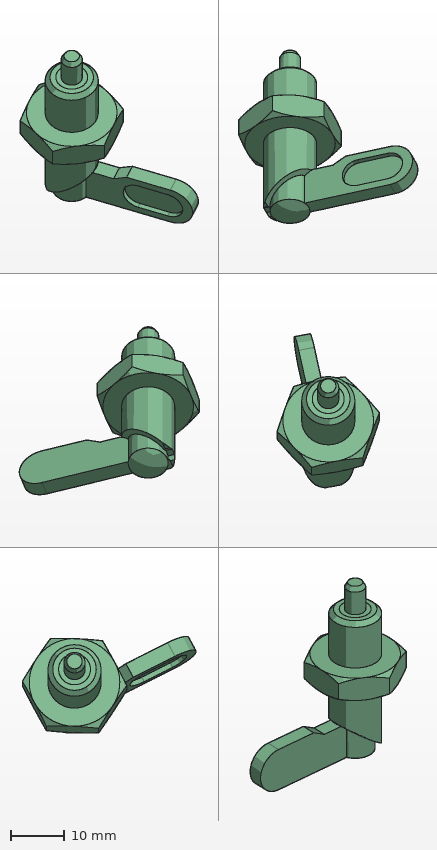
import cadquery as cq
import math

overall_height = 38
pin_projection = 6.0
sleeve_top = overall_height - pin_projection
sleeve_bottom = 2.0
stub_bottom = 1.0

sleeve_diameter = 10.0
sleeve_radius = sleeve_diameter / 2
sleeve_tip_diameter = 8.17
sleeve_chamfer_height = 0.9
notch_outer_width = 3.1
notch_inner_width = 1.45
notch_depth = 0.5

cam_low_x = -3.88
cam_high_x = 4.85
cam_top = 8.5

nut_height = 5.0
nut_top = 22.0
nut_across_flats = 17.02
nut_chamfer_angle = 30

pin_diameter = 4.0
pin_tip_diameter = 2.9
pin_chamfer_height = 1.0
shaft_diameter = 6.0
stub_diameter = 7.52

lever_thickness = 3.0
lever_height = 9.0
lever_end_x = 25.0
lever_ramp_start_x = 9.05
lever_ramp_end_x = 11.65
lever_end_radius = lever_height / 2
lever_mid_z = stub_bottom + lever_end_radius
lever_top = stub_bottom + lever_height
lever_arc_x = lever_end_x - lever_end_radius

recess_length = 12.0
recess_height = 6.0
recess_depth = 1.0
recess_mid_x = 17.0


def cylinder(diameter, bottom, top):
    return cq.Workplane("XY").workplane(offset=bottom).circle(diameter / 2).extrude(top - bottom)


def below_cam_space():
    """Everything under the cam slope and its short flat, across the whole sleeve."""
    outer_x = sleeve_diameter
    return (
        cq.Workplane("XZ")
        .moveTo(-outer_x, 0)
        .lineTo(-outer_x, sleeve_bottom)
        .lineTo(cam_low_x, sleeve_bottom)
        .lineTo(cam_high_x, cam_top)
        .lineTo(outer_x, cam_top)
        .lineTo(outer_x, 0)
        .close()
        .extrude(sleeve_radius, both=True)
    )


def parking_notch():
    """Tapered notch across the low side of the sleeve's lower end."""
    return (
        cq.Workplane("YZ")
        .workplane(offset=-sleeve_diameter)
        .moveTo(-notch_outer_width / 2, sleeve_bottom)
        .lineTo(-notch_inner_width / 2, sleeve_bottom + notch_depth)
        .lineTo(notch_inner_width / 2, sleeve_bottom + notch_depth)
        .lineTo(notch_outer_width / 2, sleeve_bottom)
        .close()
        .extrude(sleeve_diameter)
    )


def make_sleeve():
    outer = (
        cq.Workplane("XZ")
        .lineTo(sleeve_radius, 0)
        .lineTo(sleeve_radius, sleeve_top - sleeve_chamfer_height)
        .lineTo(sleeve_tip_diameter / 2, sleeve_top)
        .lineTo(0, sleeve_top)
        .close()
        .revolve(360, (0, 0, 0), (0, 1, 0))
    )
    bore = cylinder(shaft_diameter, 0, sleeve_top)
    counterbore = cylinder(stub_diameter, 0, cam_top)
    return outer.cut(below_cam_space()).cut(parking_notch()).cut(bore).cut(counterbore)


def make_nut():
    flat_radius = nut_across_flats / 2
    corner_radius = flat_radius / math.cos(math.pi / 6)
    chamfer_height = (corner_radius - flat_radius) * math.tan(math.radians(nut_chamfer_angle))
    bottom = nut_top - nut_height
    hexagon = (
        cq.Workplane("XY")
        .workplane(offset=bottom)
        .transformed(rotate=(0, 0, 30))
        .polygon(6, 2 * corner_radius)
        .extrude(nut_height)
    )
    chamfer_envelope = (
        cq.Workplane("XZ")
        .moveTo(0, bottom)
        .lineTo(flat_radius, bottom)
        .lineTo(corner_radius, bottom + chamfer_height)
        .lineTo(corner_radius, nut_top - chamfer_height)
        .lineTo(flat_radius, nut_top)
        .lineTo(0, nut_top)
        .close()
        .revolve(360, (0, 0, 0), (0, 1, 0))
    )
    bore = cylinder(sleeve_diameter, bottom, nut_top)
    return hexagon.intersect(chamfer_envelope).cut(bore)


def make_shaft():
    """Round shaft in the sleeve bore, with the chamfered pin on its upper end."""
    return (
        cq.Workplane("XZ")
        .moveTo(0, stub_bottom)
        .lineTo(shaft_diameter / 2, stub_bottom)
        .lineTo(shaft_diameter / 2, sleeve_top)
        .lineTo(pin_diameter / 2, sleeve_top)
        .lineTo(pin_diameter / 2, overall_height - pin_chamfer_height)
        .lineTo(pin_tip_diameter / 2, overall_height)
        .lineTo(0, overall_height)
        .close()
        .revolve(360, (0, 0, 0), (0, 1, 0))
    )


def make_domed_stub():
    """Wider round foot that fills the sleeve's counterbore, with a spherical lower end."""
    stub_radius = stub_diameter / 2
    dome_radius = (stub_radius**2 + stub_bottom**2) / (2 * stub_bottom)
    half_angle = math.asin(stub_radius / dome_radius) / 2
    dome_mid = (dome_radius * math.sin(half_angle), dome_radius * (1 - math.cos(half_angle)))
    stub = cylinder(stub_diameter, stub_bottom, cam_top)
    dome = (
        cq.Workplane("XZ")
        .threePointArc(dome_mid, (stub_radius, stub_bottom))
        .lineTo(0, stub_bottom)
        .close()
        .revolve(360, (0, 0, 0), (0, 1, 0))
    )
    return stub.union(dome)


def make_lever_plate():
    """Flat lever that starts on the axis, follows the cam slope and ends in a half round."""
    cam_slope = (cam_top - sleeve_bottom) / (cam_high_x - cam_low_x)
    cam_axis_z = sleeve_bottom - cam_low_x * cam_slope
    plate = (
        cq.Workplane("XZ")
        .moveTo(0, stub_bottom)
        .lineTo(0, cam_axis_z)
        .lineTo(cam_high_x, cam_top)
        .lineTo(lever_ramp_start_x, cam_top)
        .lineTo(lever_ramp_end_x, lever_top)
        .lineTo(lever_arc_x, lever_top)
        .threePointArc((lever_end_x, lever_mid_z), (lever_arc_x, stub_bottom))
        .close()
        .extrude(lever_thickness / 2, both=True)
    )
    recess = (
        cq.Workplane("XZ", origin=(recess_mid_x, -lever_thickness / 2, lever_mid_z))
        .slot2D(recess_length, recess_height)
        .extrude(-recess_depth)
    )
    return plate.cut(recess)


def make_plunger():
    return make_shaft().union(make_domed_stub()).union(make_lever_plate())


sleeve = make_sleeve()
nut = make_nut()
plunger = make_plunger()

result = cq.Compound.makeCompound([sleeve.val(), nut.val(), plunger.val()])